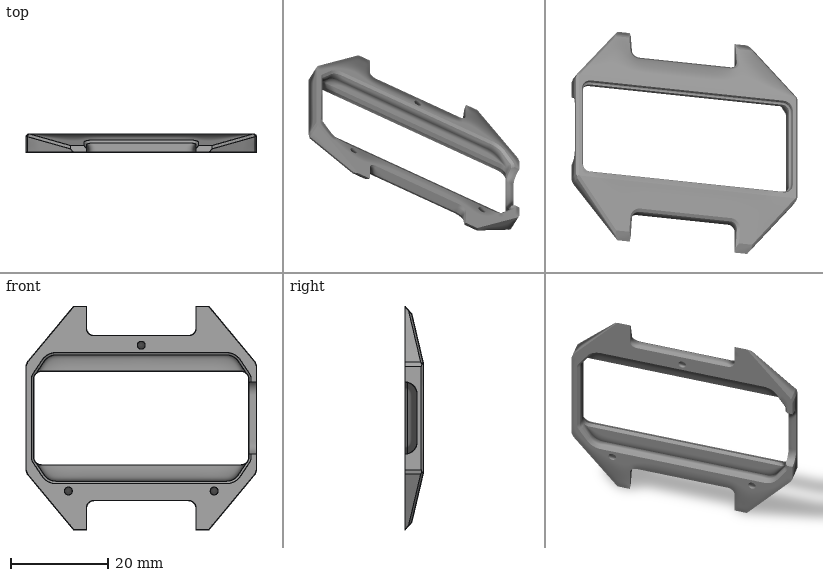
import cadquery as cq
import math

width = 47.5
height = 46.0
thickness = 3.85
front_y = 0.0
back_y = front_y + thickness

lug_tip_half_width = 13.9
corner_half_height = 11.15
side_corner_chamfer = 0.5
notch_half_width = 11.25
notch_floor_z = 17.0
notch_corner_radius = 1.5

taper_end_y = front_y + 1.05
back_edge_chamfer = 0.5
tip_bevel_angle = 42.0

window_width = 44.2
window_height = 19.2
window_corner_radius = 1.5
rebate_width = 0.5
rebate_depth = 1.0

recess_half_width = 22.1
recess_half_height = 13.0
recess_top_half_width = 19.1
recess_side_half_height = 8.5
recess_depth = 1.85
recess_top_radius = 3.0
recess_side_radius = 1.5
recess_chamfer = 0.5

cutout_depth = 2.5
cutout_half_height = 7.4

tolerance = 0.01

pin_hole_diameter = 1.62
pin_hole_depth = 2.0
pin_hole_offset = 15.0
pin_hole_centers = [
    (0, pin_hole_offset),
    (-pin_hole_offset, -pin_hole_offset),
    (pin_hole_offset, -pin_hole_offset),
]


def front_plane():
    """XZ plane of the front face."""
    return cq.Workplane("XZ", origin=(0, front_y, 0))


def extrude_back(sketch, depth):
    """Extrude a sketch on the front plane by depth towards +Y."""
    return sketch.extrude(-depth)


def octagon_prism(half_width, half_height, top_half_width, side_half_height, depth):
    """Prism over an octagon that is symmetric about the X and Z axes."""
    right = [
        (top_half_width, -half_height),
        (half_width, -side_half_height),
        (half_width, side_half_height),
        (top_half_width, half_height),
    ]
    left = [(-x, -z) for x, z in right]
    return extrude_back(front_plane().polyline(right + left).close(), depth)


def outline_prism():
    """Full-thickness prism over the sharp-cornered octagonal outline."""
    return octagon_prism(
        width / 2, height / 2, lug_tip_half_width, corner_half_height, thickness
    )


def profile_prism(end_y, shoulder_half_height):
    """Bar along X whose back is flat between the shoulders and slopes to end_y at both ends."""
    upper = [(end_y, height / 2), (back_y, shoulder_half_height)]
    lower = [(y, -z) for y, z in reversed(upper)]
    front = [(front_y, -height / 2), (front_y, height / 2)]
    points = list(dict.fromkeys(front + upper + lower))
    return cq.Workplane("YZ").polyline(points).close().extrude(width / 2, both=True)


def strap_notch(direction):
    """Notch between the lugs at the upper (+1) or lower (-1) end."""
    depth = 2 * (height / 2 - notch_floor_z)
    block = extrude_back(
        front_plane()
        .center(0, direction * height / 2)
        .rect(2 * notch_half_width, depth),
        thickness,
    )
    return block.edges("|Y").fillet(notch_corner_radius)


def is_back_rim_edge(edge):
    """True for edges between the back faces and the side walls, lug tips excepted."""
    box = edge.BoundingBox()
    behind_front = box.ymin > front_y + tolerance
    runs_along_thickness = box.xlen < tolerance and box.zlen < tolerance
    at_lug_tip = abs(edge.Center().z) > height / 2 - tolerance
    at_taper_start = box.xlen > width - tolerance
    return behind_front and not (runs_along_thickness or at_lug_tip or at_taper_start)


def make_body():
    """Solid plate with its outline, tapered back, strap notches and edge breaks."""
    body = outline_prism().intersect(profile_prism(taper_end_y, corner_half_height))
    for direction in (1, -1):
        body = body.cut(strap_notch(direction))
    body = body.newObject([e for e in body.edges().vals() if is_back_rim_edge(e)])
    body = body.chamfer(back_edge_chamfer)
    trimmed_outline = outline_prism()
    for side in (">X", "<X"):
        trimmed_outline = trimmed_outline.faces(side).edges("|Y").chamfer(side_corner_chamfer)
    bevel_rise = thickness / math.tan(math.radians(tip_bevel_angle))
    tip_bevel = profile_prism(front_y, height / 2 - bevel_rise)
    return body.intersect(trimmed_outline).intersect(tip_bevel)


def window():
    """Rounded rectangular opening, stepped wider at the back."""
    block = extrude_back(front_plane().rect(window_width, window_height), thickness)
    block = block.edges("|Y").fillet(window_corner_radius)
    back_outline = block.faces(">Y").wires().toPending().offset2D(rebate_width)
    return block.union(back_outline.extrude(rebate_depth))


def recess():
    """Octagonal pocket with rounded corners and a widened mouth at the front."""
    pocket = octagon_prism(
        recess_half_width,
        recess_half_height,
        recess_top_half_width,
        recess_side_half_height,
        recess_depth,
    )
    for end in (">Z", "<Z"):
        pocket = pocket.faces(end).edges("|Y").fillet(recess_top_radius)
    for side in (">X", "<X"):
        pocket = pocket.faces(side).edges("|Y").fillet(recess_side_radius)
    front_outline = pocket.faces("<Y").wires().toPending()
    mouth = front_outline.offset2D(recess_chamfer).extrude(-recess_chamfer, taper=45)
    return pocket.union(mouth)


def side_cutout():
    """Slot across the +X rail, with a full-depth radius at both ends of its floor."""
    block = extrude_back(
        front_plane().center(width / 2, 0).rect(width / 2, 2 * cutout_half_height),
        cutout_depth,
    )
    return block.faces(">Y").edges("|X").fillet(cutout_depth - tolerance)


def pin_holes():
    """Three blind holes drilled from the front."""
    circles = front_plane().pushPoints(pin_hole_centers).circle(pin_hole_diameter / 2)
    return extrude_back(circles, pin_hole_depth)


result = (
    make_body()
    .cut(window())
    .cut(recess())
    .cut(side_cutout())
    .cut(pin_holes())
)